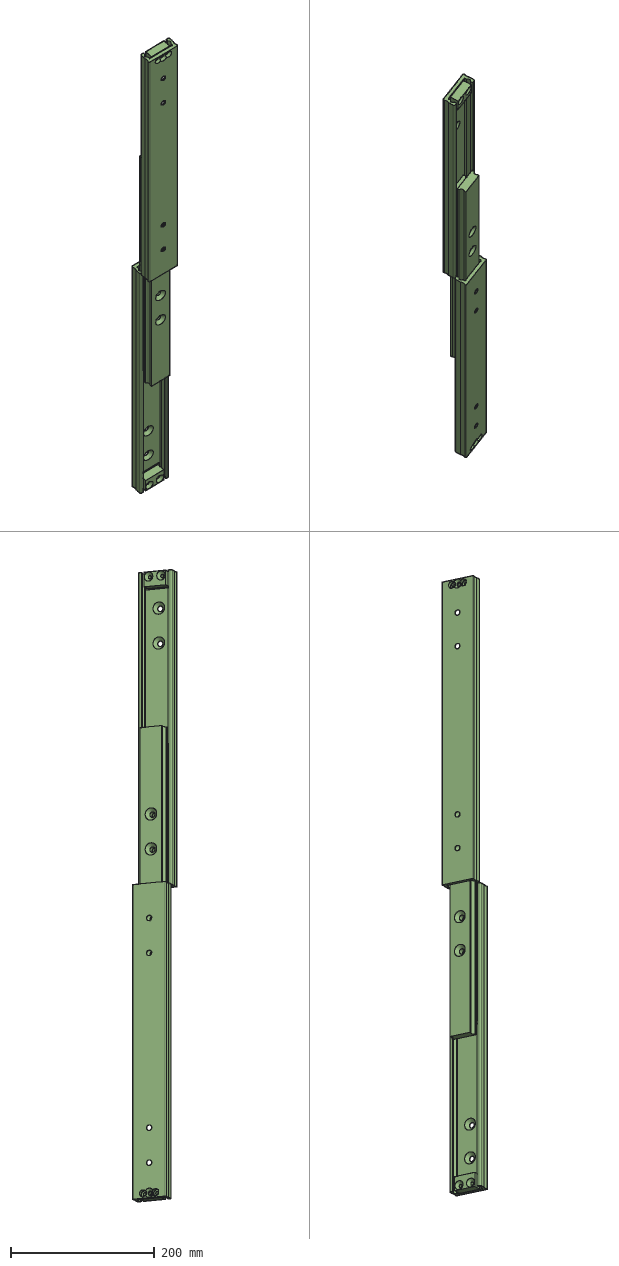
import cadquery as cq
import math


member_length = 450.0

channel_width = 51.38
channel_depth = 19.5
web_thickness = 5.5
flange_inside = 20.4
corner_fillet = 1.2
lip_fillet = 2.5
channel_track_width = 7.0
channel_track_depth = 2.2
outer_groove_center = 13.5
outer_groove_width = 7.4
outer_groove_depth = 0.8

rail_depth = 13.0
rail_face_half_width = 16.45
track_center = 7.1
rail_track_radius = 4.3
rail_track_face_angle = 39.0
rail_track_lip_angle = 75.0

hole_diameter = 7.7
countersink_diameter = 17.6
countersink_angle = 90.0
hole_inset = 50.0
hole_spacing = 50.0

stop_length = 21.0
plate_length = 22.5
plate_half_width = 19.5
stop_hole_inset = 7.0
stop_hole_offset = 9.5
stop_hole_diameter = 4.5
stop_countersink_diameter = 13.0
stop_access_diameter = 10.0
stop_screw_diameter = 6.0
stop_screw_depth = 6.0

channel_half_width = channel_width / 2
web_inside = channel_depth - web_thickness
plate_thickness = web_inside - rail_depth
rail_length = member_length - stop_length
rail_bottom = -member_length / 2
stop_hole_height = member_length - stop_hole_inset
pair_from_end = (hole_inset, hole_inset + hole_spacing)
channel_hole_heights = pair_from_end + tuple(member_length - z for z in pair_from_end)
rail_hole_heights = pair_from_end + tuple(-z for z in pair_from_end)


def x_cylinder(diameter, x_start, x_end, y, z):
    """Cylinder along X between two X positions."""
    center_line = cq.Workplane("YZ", origin=(x_start, y, z))
    return center_line.circle(diameter / 2).extrude(x_end - x_start)


def countersunk_cutter(hole, countersink, x_face, direction, x_end, y, z):
    """Through hole with a cone that opens at x_face towards direction (+1 or -1 along X)."""
    half_angle = math.radians(countersink_angle / 2)
    cone_depth = (countersink - hole) / 2 / math.tan(half_angle)
    cone = cq.Solid.makeCone(
        countersink / 2,
        hole / 2,
        cone_depth,
        pnt=cq.Vector(x_face, y, z),
        dir=cq.Vector(-direction, 0, 0),
    )
    return x_cylinder(hole, x_face, x_end, y, z).union(cq.Workplane(cone))


def mirrored_about_xz(half_body):
    return half_body.union(half_body.mirror("XZ"))


def make_channel():
    groove_start = outer_groove_center - outer_groove_width / 2
    groove_end = outer_groove_center + outer_groove_width / 2
    track_start = track_center - channel_track_width / 2
    track_end = track_center + channel_track_width / 2
    half_profile = (
        cq.Workplane("XY")
        .moveTo(web_inside, 0)
        .lineTo(web_inside, flange_inside)
        .lineTo(track_end, flange_inside)
        .threePointArc((track_center, flange_inside + channel_track_depth), (track_start, flange_inside))
        .lineTo(0, flange_inside)
        .lineTo(0, channel_half_width - lip_fillet)
        .radiusArc((lip_fillet, channel_half_width), lip_fillet)
        .lineTo(groove_start, channel_half_width)
        .threePointArc(
            (outer_groove_center, channel_half_width - outer_groove_depth),
            (groove_end, channel_half_width),
        )
        .lineTo(channel_depth - corner_fillet, channel_half_width)
        .radiusArc((channel_depth, channel_half_width - corner_fillet), corner_fillet)
        .lineTo(channel_depth, 0)
        .close()
    )
    body = mirrored_about_xz(half_profile.extrude(member_length))
    for z in channel_hole_heights:
        body = body.cut(
            countersunk_cutter(hole_diameter, countersink_diameter, web_inside, -1, channel_depth, 0, z)
        )
    for side in (-1, 1):
        y = side * stop_hole_offset
        body = body.cut(x_cylinder(stop_access_diameter, web_inside, channel_depth, y, stop_hole_height))
    return body.cut(
        countersunk_cutter(
            stop_screw_diameter, stop_countersink_diameter, channel_depth, 1, web_inside, 0, stop_hole_height
        )
    )


def make_rail():
    face_angle = math.radians(rail_track_face_angle)
    lip_angle = math.radians(rail_track_lip_angle)
    track_axis_y = rail_face_half_width + rail_track_radius * math.cos(face_angle)
    track_bottom = track_axis_y - rail_track_radius
    face_side_x = track_center + rail_track_radius * math.sin(face_angle)
    lip_side_x = track_center - rail_track_radius * math.sin(lip_angle)
    lip_half_width = track_axis_y - rail_track_radius * math.cos(lip_angle)
    half_profile = (
        cq.Workplane("XY", origin=(0, 0, rail_bottom))
        .lineTo(rail_depth, 0)
        .lineTo(rail_depth, rail_face_half_width)
        .lineTo(face_side_x, rail_face_half_width)
        .threePointArc((track_center, track_bottom), (lip_side_x, lip_half_width))
        .lineTo(0, lip_half_width)
        .close()
    )
    body = mirrored_about_xz(half_profile.extrude(rail_length))
    for z in rail_hole_heights:
        body = body.cut(countersunk_cutter(hole_diameter, countersink_diameter, rail_depth, 1, 0, 0, z))
    return body


def make_stop():
    body = (
        cq.Workplane("XY", origin=(rail_depth / 2, 0, member_length - stop_length))
        .rect(rail_depth, 2 * rail_face_half_width)
        .extrude(stop_length)
    )
    for side in (-1, 1):
        y = side * stop_hole_offset
        body = body.cut(
            countersunk_cutter(
                stop_hole_diameter, stop_countersink_diameter, 0, -1, rail_depth, y, stop_hole_height
            )
        )
    return body.cut(
        x_cylinder(stop_screw_diameter, rail_depth - stop_screw_depth, rail_depth, 0, stop_hole_height)
    )


def make_backing_plate():
    body = (
        cq.Workplane("XY", origin=(rail_depth + plate_thickness / 2, 0, member_length - plate_length))
        .rect(plate_thickness, 2 * plate_half_width)
        .extrude(plate_length)
    )
    for side in (-1, 1):
        y = side * stop_hole_offset
        body = body.cut(x_cylinder(stop_access_diameter, rail_depth, web_inside, y, stop_hole_height))
    return body.cut(x_cylinder(stop_screw_diameter, rail_depth, web_inside, 0, stop_hole_height))


bodies = []
for make_body in (make_channel, make_rail, make_stop, make_backing_plate):
    upper = make_body()
    lower = upper.rotate((0, 0, 0), (0, 1, 0), 180)
    bodies += [upper.solids().val(), lower.solids().val()]

result = cq.Compound.makeCompound(bodies)